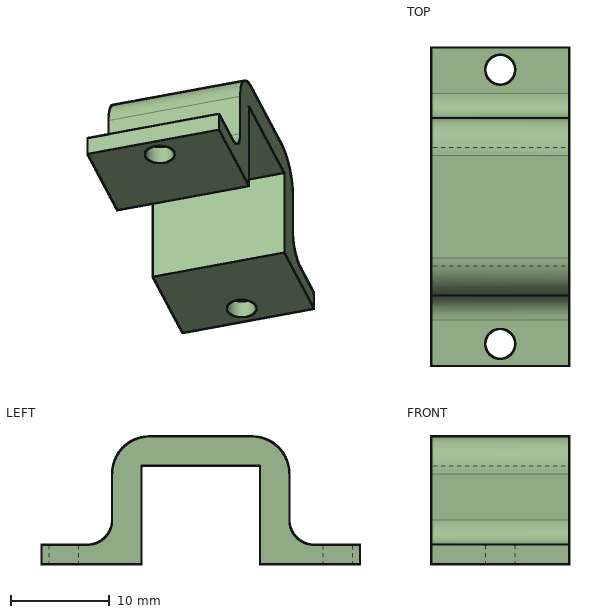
import cadquery as cq

width = 14.0
length = 32.32
height = 13.0

wall = 3.0
channel_width = 12.0
flange_thickness = 2.0
roof_radius = 3.8
foot_radius = 2.5

hole_diameter = 3.0
hole_spacing = 27.8

body_width = channel_width + 2 * wall
channel_height = height - wall


def block(size_y, size_z):
    """Full-width block centred in X and Y, standing on Z = 0."""
    return cq.Workplane("XY").box(width, size_y, size_z, centered=(True, True, False))


def edges_along_x(y, z):
    """Select the mirrored pair of lengthwise edges at +/-y and height z."""
    left_edge = cq.selectors.NearestToPointSelector((0, -y, z))
    right_edge = cq.selectors.NearestToPointSelector((0, y, z))
    return left_edge + right_edge


strap = block(length, flange_thickness).union(block(body_width, height))

strap = strap.edges(edges_along_x(body_width / 2, height)).fillet(roof_radius)
strap = strap.edges(edges_along_x(body_width / 2, flange_thickness)).fillet(foot_radius)

strap = strap.cut(block(channel_width, channel_height))

hole_centers = [(0, -hole_spacing / 2), (0, hole_spacing / 2)]
holes = (
    cq.Workplane("XY")
    .pushPoints(hole_centers)
    .circle(hole_diameter / 2)
    .extrude(flange_thickness)
)

result = strap.cut(holes)